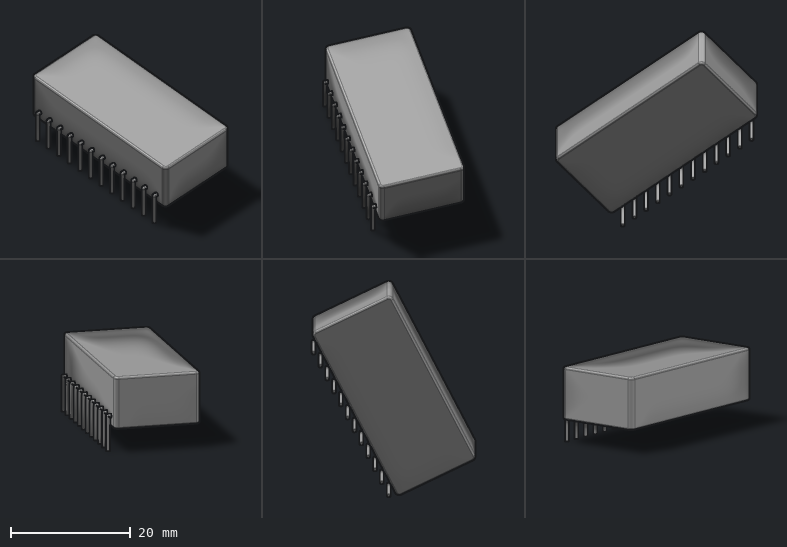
import cadquery as cq

body_length = 32.2
overall_depth = 15.85
overall_height = 13.2

body_depth = 14.97
body_height = 9.08
corner_radius = 0.8
rim_radius = 0.4

pin_count = 12
pin_pitch = 2.55
pin_diameter = 0.7
pin_tip_radius = 0.1
pin_root_depth = 0.32

pin_radius = pin_diameter / 2
pin_reach = overall_depth - body_depth - pin_radius
pin_tip_z = body_height - overall_height
pin_total_height = 6.4
elbow_z = pin_tip_z + pin_total_height - pin_radius
front_wall_y = -body_depth / 2
pin_axis_y = front_wall_y - pin_reach


def make_body():
    """Box standing on Z = 0 with rounded corners and rims."""
    return (
        cq.Workplane("XY")
        .box(body_length, body_depth, body_height, centered=(True, True, False))
        .edges("|Z")
        .fillet(corner_radius)
        .faces("<Z or >Z")
        .edges()
        .fillet(rim_radius)
    )


def make_pin(x):
    """Pin leaving the front wall and turning down at a ball-shaped elbow."""
    elbow = cq.Vector(x, pin_axis_y, elbow_z)
    stub_length = pin_reach + pin_root_depth
    leg_length = elbow_z - pin_tip_z
    stub = cq.Solid.makeCylinder(pin_radius, stub_length, elbow, cq.Vector(0, 1, 0))
    leg = cq.Solid.makeCylinder(pin_radius, leg_length, elbow, cq.Vector(0, 0, -1))
    ball = cq.Workplane("XY").sphere(pin_radius).translate(elbow)
    rounded_leg = cq.Workplane(leg).faces("<Z").edges().fillet(pin_tip_radius)
    return ball.union(cq.Workplane(stub)).union(rounded_leg)


result = make_body()
first_pin_x = -pin_pitch * (pin_count - 1) / 2
for index in range(pin_count):
    result = result.union(make_pin(first_pin_x + index * pin_pitch))